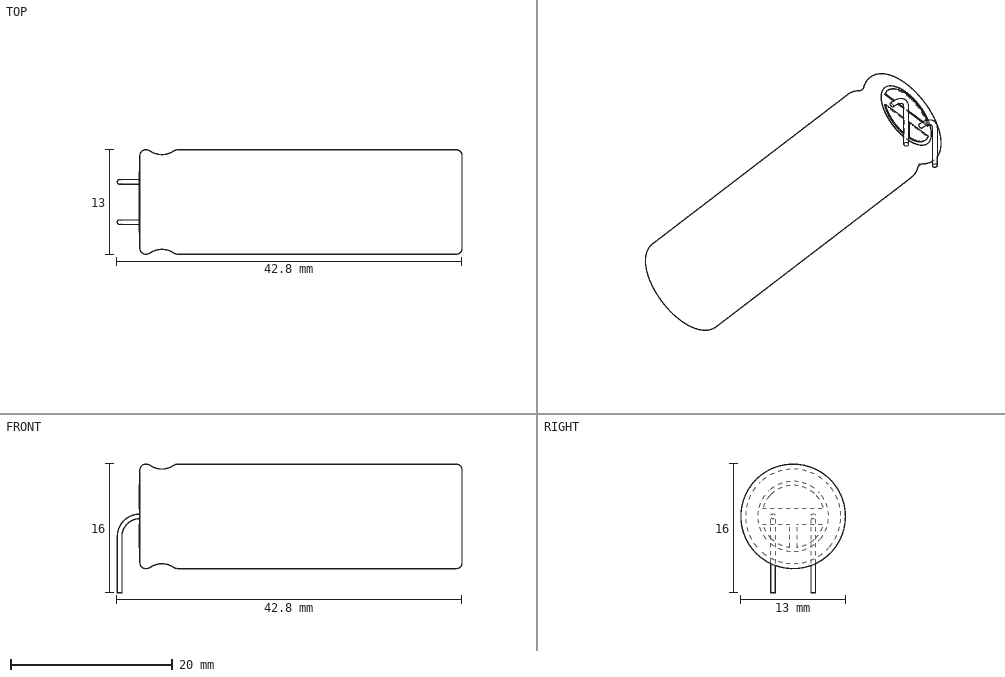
import cadquery as cq
import math

CAN_DIAMETER = 13.0
CAN_LENGTH = 40.0
EDGE_RADIUS = 0.75

GROOVE_START = EDGE_RADIUS
GROOVE_HALF_WIDTH = 2.0
GROOVE_DEPTH = 0.61
GROOVE_SHOULDER_SHARE = 0.28

SEAL_DIAMETER = 8.75
SEAL_DEPTH = 0.05
PAD_MARGIN = 0.5
PAD_RADIUS = SEAL_DIAMETER / 2 - PAD_MARGIN
PAD_PROTRUSION = 0.1
PAD_HEIGHT = SEAL_DEPTH + PAD_PROTRUSION
CROSS_SLOT_WIDTH = 2.0
LOWER_SLOT_WIDTH = 0.9

LEAD_DIAMETER = 0.6
LEAD_PITCH = 5.0
LEAD_BEND_RADIUS = 2.5
LEAD_TIP_Z = -9.5
LEAD_EMBED = 1.0

CAN_RADIUS = CAN_DIAMETER / 2


def make_can():
    """Revolve the can outline: rounded ends and a crimp groove made of three tangent arcs."""
    wall_angle = 2 * math.atan(GROOVE_DEPTH / GROOVE_HALF_WIDTH)
    radii_sum = GROOVE_HALF_WIDTH / math.sin(wall_angle)
    shoulder_radius = GROOVE_SHOULDER_SHARE * radii_sum

    shoulder_width = shoulder_radius * math.sin(wall_angle)
    shoulder_drop = shoulder_radius * (1 - math.cos(wall_angle))
    shoulder_mid_width = shoulder_radius * math.sin(wall_angle / 2)
    shoulder_mid_drop = shoulder_radius * (1 - math.cos(wall_angle / 2))

    groove_middle = GROOVE_START + GROOVE_HALF_WIDTH
    groove_end = GROOVE_START + 2 * GROOVE_HALF_WIDTH
    shoulder_r = CAN_RADIUS - shoulder_drop
    shoulder_mid_r = CAN_RADIUS - shoulder_mid_drop
    face_radius = CAN_RADIUS - EDGE_RADIUS
    edge_mid_inset = EDGE_RADIUS * (1 - math.sqrt(0.5))

    outline = (
        cq.Workplane("XY")
        .moveTo(0, 0)
        .lineTo(0, face_radius)
        .threePointArc(
            (edge_mid_inset, CAN_RADIUS - edge_mid_inset),
            (GROOVE_START, CAN_RADIUS),
        )
        .threePointArc(
            (GROOVE_START + shoulder_mid_width, shoulder_mid_r),
            (GROOVE_START + shoulder_width, shoulder_r),
        )
        .threePointArc(
            (groove_middle, CAN_RADIUS - GROOVE_DEPTH),
            (groove_end - shoulder_width, shoulder_r),
        )
        .threePointArc(
            (groove_end - shoulder_mid_width, shoulder_mid_r),
            (groove_end, CAN_RADIUS),
        )
        .lineTo(CAN_LENGTH - EDGE_RADIUS, CAN_RADIUS)
        .threePointArc(
            (CAN_LENGTH - edge_mid_inset, CAN_RADIUS - edge_mid_inset),
            (CAN_LENGTH, face_radius),
        )
        .lineTo(CAN_LENGTH, 0)
        .close()
    )
    return outline.revolve(360, (0, 0, 0), (1, 0, 0))


def make_seal_recess():
    """Shallow disc to be cut from the terminal face."""
    return cq.Workplane("YZ").circle(SEAL_DIAMETER / 2).extrude(SEAL_DEPTH)


def make_pads():
    """Thin disc on the recess floor, split by T-shaped slots into one upper and two lower pads."""
    floor = cq.Workplane("YZ", origin=(SEAL_DEPTH, 0, 0))
    disc = floor.circle(PAD_RADIUS).extrude(-PAD_HEIGHT)
    cross_slot = floor.rect(2 * PAD_RADIUS, CROSS_SLOT_WIDTH).extrude(-PAD_HEIGHT)
    lower_slot = (
        floor.center(0, -PAD_RADIUS / 2)
        .rect(LOWER_SLOT_WIDTH, PAD_RADIUS)
        .extrude(-PAD_HEIGHT)
    )
    return disc.cut(cross_slot).cut(lower_slot)


def make_lead(y):
    """Wire that leaves the terminal face along -X and bends down to -Z."""
    bend_mid_x = -LEAD_BEND_RADIUS * math.sqrt(0.5)
    bend_mid_z = -LEAD_BEND_RADIUS * (1 - math.sqrt(0.5))
    path = (
        cq.Workplane("XZ", origin=(0, y, 0))
        .moveTo(LEAD_EMBED, 0)
        .lineTo(0, 0)
        .threePointArc((bend_mid_x, bend_mid_z), (-LEAD_BEND_RADIUS, -LEAD_BEND_RADIUS))
        .lineTo(-LEAD_BEND_RADIUS, LEAD_TIP_Z)
    )
    section = cq.Workplane("YZ", origin=(LEAD_EMBED, y, 0)).circle(LEAD_DIAMETER / 2)
    return section.sweep(path)


result = make_can().cut(make_seal_recess()).union(make_pads())
for side in (-1, 1):
    result = result.union(make_lead(side * LEAD_PITCH / 2))